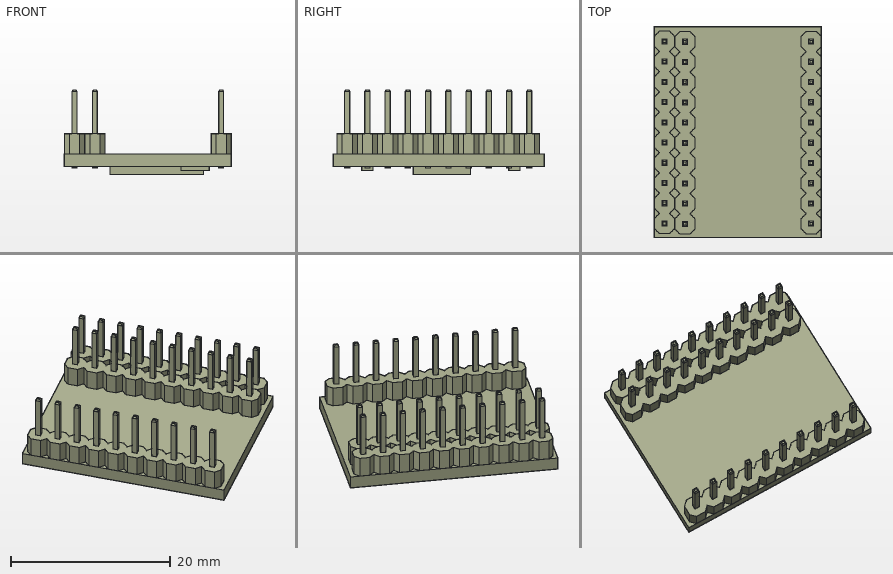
import cadquery as cq

total_height = 10.65

board_width = 21.0
board_length = 26.5
board_thickness = 1.6

pins_per_header = 10
header_length = 25.41
pin_pitch = header_length / pins_per_header
housing_width = pin_pitch
housing_height = pin_pitch
housing_corner_cut = pin_pitch / 4
header_gap = 0.03
left_margin = 0.03

pin_width = 0.64
pin_tail = 0.15
tip_height = 0.19
tip_inset = pin_width / 4

outer_left_x = left_margin + housing_width / 2
inner_left_x = outer_left_x + housing_width + header_gap
right_x = board_width - housing_width / 2
header_centres = [
    (outer_left_x, -0.03),
    (inner_left_x, -0.08),
    (right_x, -0.05),
]

main_chip_width = 11.77
main_chip_length = 7.23
main_chip_height = 1.0
main_chip_x = 11.63
main_chip_y = 0.4

small_chip_width = 3.55
small_chip_length = 1.43
small_chip_height = 0.5
small_chip_x = 16.45
small_chip_ys = [9.5, -8.95]


def pin_points(centre_y):
    """Y positions of the pins of a header centred at centre_y."""
    first_y = centre_y - (header_length - pin_pitch) / 2
    return [first_y + i * pin_pitch for i in range(pins_per_header)]


def block_below(x, y, width, length, height, top):
    """Rectangular block centred at (x, y) and hanging down from Z = top."""
    return (
        cq.Workplane("XY", origin=(x, y, top))
        .rect(width, length)
        .extrude(-height)
    )


def make_board():
    """Board with its underside components and a square hole for every pin."""
    bottom = -board_thickness
    board = block_below(board_width / 2, 0, board_width, board_length, board_thickness, 0)
    board = board.union(
        block_below(main_chip_x, main_chip_y, main_chip_width, main_chip_length, main_chip_height, bottom)
    )
    for y in small_chip_ys:
        board = board.union(
            block_below(small_chip_x, y, small_chip_width, small_chip_length, small_chip_height, bottom)
        )
    hole_points = [(x, y) for x, centre_y in header_centres for y in pin_points(centre_y)]
    holes = (
        cq.Workplane("XY")
        .pushPoints(hole_points)
        .rect(pin_width, pin_width)
        .extrude(-board_thickness)
    )
    return board.cut(holes)


def make_pin(x, y):
    """Pin from below the board to above the housing, with a tapered tip."""
    pin_bottom = -board_thickness - pin_tail
    pin_top = total_height - main_chip_height - board_thickness
    return (
        cq.Workplane("XY", origin=(x, y, pin_bottom))
        .rect(pin_width, pin_width)
        .extrude(pin_top - pin_bottom)
        .faces(">Z")
        .chamfer(tip_height, tip_inset)
    )


def make_housing_cell(x, y):
    """Octagonal housing section that holds one pin."""
    return (
        cq.Workplane("XY", origin=(x, y, 0))
        .rect(housing_width, pin_pitch)
        .extrude(housing_height)
        .edges("|Z")
        .chamfer(housing_corner_cut)
    )


def make_header(x, centre_y):
    """Row of joined housing cells with their pins, as one solid."""
    header = cq.Workplane("XY")
    for y in pin_points(centre_y):
        header = header.union(make_housing_cell(x, y)).union(make_pin(x, y))
    return header


board = make_board()
headers = [make_header(x, y) for x, y in header_centres]

result = cq.Compound.makeCompound([body.solids().val() for body in [board, *headers]])